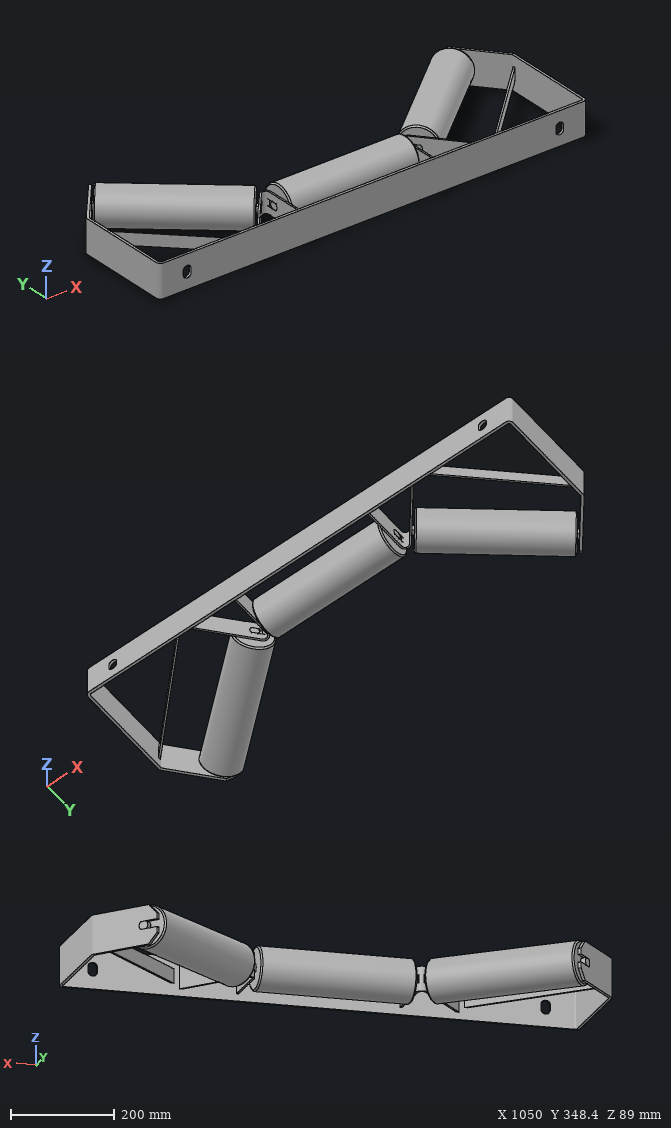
import cadquery as cq
import math


ROLLER_LENGTH = 315.0
ROLLER_DIAMETER = 89.0
ROLLER_CHAMFER = 3.0
SHAFT_DIAMETER = 20.0
SHAFT_FLATS = 16.0
CENTRE_ROLLER_Y = 100.0
WING_X = 319.0
WING_Y = 215.0
WING_TILT = 40.0

FRAME_LENGTH = 1050.0
FRAME_HEIGHT = 80.0
FRAME_THICKNESS = 6.0
BASE_BEND_RADIUS = 10.0
ARM_BEND_RADIUS = 8.0
ARM_CORNER_CHAMFER = 20.0
ARM_REACH = 32.0

BRACKET_HEIGHT = 50.0
BRACKET_THICKNESS = 4.0
BRACKET_BEND_RADIUS = 13.0
STRUT_HEIGHT = 29.0
STRUT_THICKNESS = 4.0
STRUT_WALL_Y = 227.0
STRUT_FOOT_X = 293.0

HOLE_X = 457.0
HOLE_WIDTH = 19.0
HOLE_LENGTH = 27.0

ARM_GAP = 4.0
BRACKET_GAP = 5.0

HALF_ROLLER = ROLLER_LENGTH / 2
HALF_FRAME = FRAME_LENGTH / 2
ARM_INNER = HALF_ROLLER + ARM_GAP
ARM_OUTER = ARM_INNER + FRAME_THICKNESS
BRACKET_FACE = HALF_ROLLER + BRACKET_GAP
BRACKET_BACK = BRACKET_FACE + BRACKET_THICKNESS
TILT_COS = math.cos(math.radians(WING_TILT))
TILT_SIN = math.sin(math.radians(WING_TILT))
WELD_DEPTH = FRAME_THICKNESS / 4


def wing_point(along, across):
    """XY point from the left wing roller's middle: outward along its axis and upward across it."""
    x = -WING_X - along * TILT_COS + across * TILT_SIN
    y = WING_Y + along * TILT_SIN + across * TILT_COS
    return (x, y)


def wing_along_to_y(along, y):
    """Point at the given distance along the left wing axis direction that has the given Y."""
    across = (y - WING_Y - along * TILT_SIN) / TILT_COS
    return wing_point(along, across)


def wing_along_to_x(along, x):
    """Point at the given distance along the left wing axis direction that has the given X."""
    across = (x + WING_X + along * TILT_COS) / TILT_SIN
    return wing_point(along, across)


def mirrored(shape):
    """The shape reflected about X = 0."""
    return shape.mirror("YZ")


def unit_left_normal(start, end):
    """Unit vector to the left of the line from start to end."""
    length = math.dist(start, end)
    return ((start[1] - end[1]) / length, (end[0] - start[0]) / length)


def offset_path(path, distance):
    """Path moved to its left by the distance, with mitred corners."""
    normals = [unit_left_normal(a, b) for a, b in zip(path, path[1:])]
    moved = []
    for point, before, after in zip(path, normals[:1] + normals, normals + normals[-1:]):
        scale = distance / (1 + before[0] * after[0] + before[1] * after[1])
        x = point[0] + scale * (before[0] + after[0])
        y = point[1] + scale * (before[1] + after[1])
        moved.append((x, y))
    return moved


def strip(outer_path, thickness, height, bend_radii=()):
    """Flat bar bent along its outer face, with the material on the left of the path."""
    inner_path = offset_path(outer_path, thickness)
    bar = cq.Workplane("XY").polyline(outer_path + inner_path[::-1]).close().extrude(height / 2, both=True)
    for outer, inner, radius in zip(outer_path[1:-1], inner_path[1:-1], bend_radii):
        bar = bar.edges(cq.NearestToPointSelector((*outer, 0))).fillet(radius)
        bar = bar.edges(cq.NearestToPointSelector((*inner, 0))).fillet(radius - thickness)
    return bar


def place_on_wing(shape):
    """Move a shape built along X about the origin onto the left wing roller axis."""
    return shape.rotate((0, 0, 0), (0, 0, 1), -WING_TILT).translate((-WING_X, WING_Y, 0))


def roller(left_end, right_end):
    """Roller along X about the origin, with its flatted shaft reaching the two given X places."""
    body = cq.Workplane("YZ", origin=(-HALF_ROLLER, 0, 0)).circle(ROLLER_DIAMETER / 2).extrude(ROLLER_LENGTH)
    body = body.faces("<X or >X").chamfer(ROLLER_CHAMFER)
    shaft_length = right_end - left_end
    shaft = cq.Workplane("YZ", origin=(left_end, 0, 0)).circle(SHAFT_DIAMETER / 2).extrude(shaft_length)
    flats = (
        cq.Workplane("YZ", origin=(left_end, 0, 0))
        .rect(SHAFT_DIAMETER, SHAFT_FLATS)
        .extrude(shaft_length)
    )
    return body.union(shaft.intersect(flats))


def shaft_slot(face_x, thickness, reach):
    """Cutter for an open slot about the X axis, round like the shaft at its closed lower end."""
    outer_x = face_x + math.copysign(thickness, face_x)
    middle_x = (face_x + outer_x) / 2
    seat = (
        cq.Workplane("YZ", origin=(middle_x, 0, 0))
        .circle(SHAFT_DIAMETER / 2)
        .extrude(thickness / 2, both=True)
    )
    opening = cq.Workplane("XY").box(thickness, reach, SHAFT_FLATS).translate((middle_x, reach / 2, 0))
    flats = cq.Workplane("XY").box(thickness, SHAFT_DIAMETER, SHAFT_FLATS).translate((middle_x, 0, 0))
    return seat.intersect(flats).union(opening)


def frame_strip():
    """Base, walls and arms bent from one strip, with chamfered arm ends."""
    left_half = [
        wing_point(ARM_OUTER, ARM_REACH),
        wing_along_to_x(ARM_OUTER, -HALF_FRAME),
        (-HALF_FRAME, 0),
    ]
    right_half = [(-x, y) for x, y in reversed(left_half)]
    radii = [ARM_BEND_RADIUS, BASE_BEND_RADIUS, BASE_BEND_RADIUS, ARM_BEND_RADIUS]
    bar = strip(left_half + right_half, FRAME_THICKNESS, FRAME_HEIGHT, radii)
    end_x, end_y = wing_point(ARM_INNER + FRAME_THICKNESS / 2, ARM_REACH)
    for x in (-end_x, end_x):
        for z in (-FRAME_HEIGHT / 2, FRAME_HEIGHT / 2):
            bar = bar.edges(cq.NearestToPointSelector((x, end_y, z))).chamfer(ARM_CORNER_CHAMFER)
    return bar


def left_bracket():
    """Bent bracket between the left wing roller and the centre roller."""
    top_corner = wing_along_to_x(-BRACKET_FACE, -BRACKET_FACE)
    path = [
        (-BRACKET_FACE, WELD_DEPTH),
        top_corner,
        wing_along_to_y(-BRACKET_FACE, FRAME_THICKNESS - WELD_DEPTH),
    ]
    return strip(path, BRACKET_THICKNESS, BRACKET_HEIGHT, [BRACKET_BEND_RADIUS])


def left_strut():
    """Straight brace from the left wall down to the base."""
    wall_end = (-HALF_FRAME + WELD_DEPTH, STRUT_WALL_Y - WELD_DEPTH)
    foot_end = (-STRUT_FOOT_X - WELD_DEPTH, WELD_DEPTH)
    return strip([wall_end, foot_end], STRUT_THICKNESS, STRUT_HEIGHT)


def mounting_holes():
    """Upright oblong holes through the base."""
    return (
        cq.Workplane("XZ")
        .pushPoints([(-HOLE_X, 0), (HOLE_X, 0)])
        .slot2D(HOLE_LENGTH, HOLE_WIDTH, 90)
        .extrude(-FRAME_THICKNESS)
    )


def left_slots():
    """Cutters for the shaft slots in the left arm and in both legs of the left bracket."""
    bracket_reach = 2 * SHAFT_DIAMETER
    arm_slot = place_on_wing(shaft_slot(-ARM_INNER, FRAME_THICKNESS, 2 * ARM_REACH))
    wing_slot = place_on_wing(shaft_slot(BRACKET_FACE, BRACKET_THICKNESS, bracket_reach))
    centre_slot = shaft_slot(-BRACKET_FACE, BRACKET_THICKNESS, bracket_reach)
    return [arm_slot, wing_slot, centre_slot.translate((0, CENTRE_ROLLER_Y, 0))]


def welded_frame():
    """Strip frame with its brackets and struts welded on, slotted for the shafts."""
    body = frame_strip()
    for part in (left_bracket(), left_strut()):
        body = body.union(part).union(mirrored(part))
    for slot in left_slots():
        body = body.cut(slot).cut(mirrored(slot))
    return body.cut(mounting_holes())


frame = welded_frame()
centre_roller = roller(-BRACKET_BACK, BRACKET_BACK).translate((0, CENTRE_ROLLER_Y, 0))
left_roller = place_on_wing(roller(-ARM_OUTER, BRACKET_BACK))
wing_rollers = [left_roller, mirrored(left_roller)]

result = cq.Compound.makeCompound(
    [frame.val(), centre_roller.val(), *[side.val() for side in wing_rollers]]
)